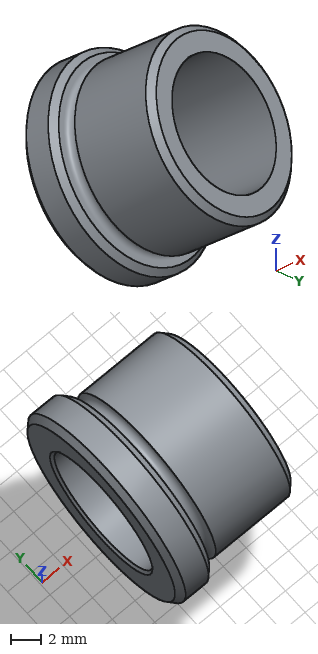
import cadquery as cq

length = 11.0
flange_diameter = 16.0
flange_width = 3.0
body_diameter = 14.0
bore_diameter = 10.0
edge_chamfer = 0.5
bore_chamfer = 0.2
groove_radius = 0.5

flange_radius = flange_diameter / 2
body_radius = body_diameter / 2


def bushing_blank():
    """Flange and body with their outer edges chamfered."""
    flange = cq.Workplane("YZ").circle(flange_radius).extrude(flange_width).edges().chamfer(edge_chamfer)
    body = cq.Workplane("YZ").circle(body_radius).extrude(length).faces(">X").edges().chamfer(edge_chamfer)
    return flange.union(body)


def relief_groove():
    """Round-bottomed ring groove in the body, touching the back of the flange."""
    groove_center_x = flange_width + groove_radius
    return (
        cq.Workplane("XY")
        .center(groove_center_x, body_radius)
        .circle(groove_radius)
        .revolve(360, (0, -body_radius), (1, -body_radius))
    )


def bore():
    """Through bore, widened by a small chamfer at the flange face."""
    bore_radius = bore_diameter / 2
    mouth_radius = bore_radius + bore_chamfer
    return (
        cq.Workplane("XY")
        .moveTo(0, 0)
        .lineTo(0, mouth_radius)
        .lineTo(bore_chamfer, bore_radius)
        .lineTo(length, bore_radius)
        .lineTo(length, 0)
        .close()
        .revolve(360, (0, 0), (1, 0))
    )


result = bushing_blank().cut(relief_groove()).cut(bore())